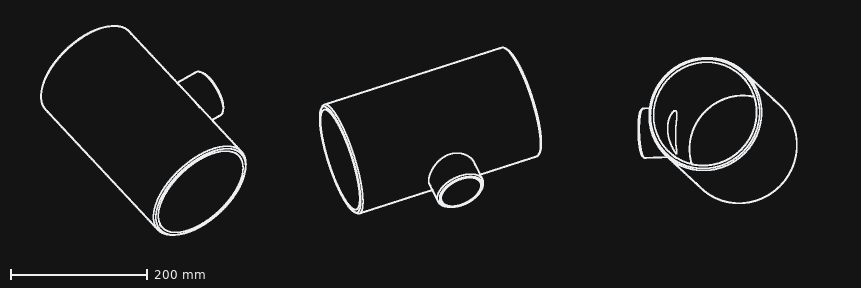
import cadquery as cq

run_length = 285.5
run_diameter = 168.2
run_wall = 7.0

overall_depth = 204.7
branch_reach = overall_depth - run_diameter / 2
branch_diameter = 73.0
branch_wall = 5.0

bevel = 2.5


def cylinder_along_x(diameter):
    return cq.Workplane("YZ").circle(diameter / 2).extrude(run_length / 2, both=True)


def cylinder_along_y(diameter):
    return cq.Workplane("XZ").circle(diameter / 2).extrude(-branch_reach)


run_body = cylinder_along_x(run_diameter).faces("<X or >X").chamfer(bevel)
branch_body = cylinder_along_y(branch_diameter).faces(">Y").chamfer(bevel)

run_bore = cylinder_along_x(run_diameter - 2 * run_wall)
branch_bore = cylinder_along_y(branch_diameter - 2 * branch_wall)

result = run_body.union(branch_body).cut(run_bore).cut(branch_bore)